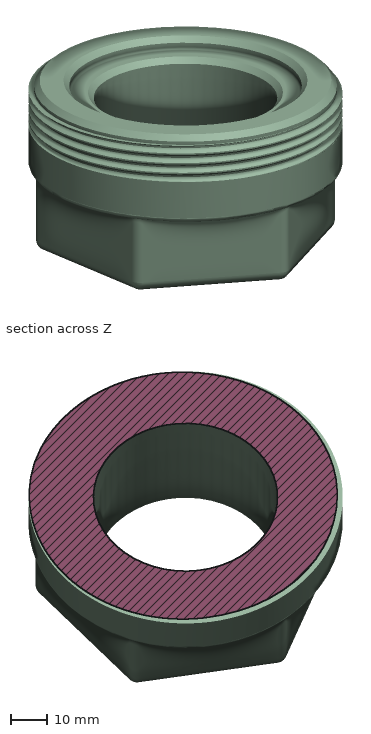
import cadquery as cq
import math

total_height = 47.3
hex_height = 22.0
shoulder_z = 34.3

collar_radius = 43.6
collar_edge_fillet = 1.5
thread_root_radius = 42.0
top_chamfer = 1.6

thread_pitch = 2.9
thread_root_flat = 0.5
thread_crest_flat = 0.4
thread_embed = 0.35
thread_top_gap = 2.5
thread_top_z = total_height - thread_top_gap

across_flats = 73.8
hex_corner_fillet = 3.0
hex_bottom_fillet = 2.9
hex_overlap = 1.7

bore_radius = 25.4
bore_chamfer = 1.6
seat_radius = 32.2
seat_depth = 3.6
seat_chamfer = 1.6
seat_floor_fillet = 0.7


def arc_midpoint_inset(radius):
    """Distance of a quarter arc's midpoint from each of the two sides it joins."""
    return radius * (1 - math.sqrt(0.5))


def make_round_body():
    """Collar and threaded neck core, without the bore."""
    fillet_mid = arc_midpoint_inset(collar_edge_fillet)
    return (
        cq.Workplane("XZ")
        .moveTo(0, hex_height)
        .lineTo(collar_radius - collar_edge_fillet, hex_height)
        .threePointArc(
            (collar_radius - fillet_mid, hex_height + fillet_mid),
            (collar_radius, hex_height + collar_edge_fillet),
        )
        .lineTo(collar_radius, shoulder_z)
        .lineTo(thread_root_radius, shoulder_z)
        .lineTo(thread_root_radius, total_height - top_chamfer)
        .lineTo(thread_root_radius - top_chamfer, total_height)
        .lineTo(0, total_height)
        .close()
        .revolve(360, (0, 0, 0), (0, 1, 0))
    )


def make_hexagon():
    """Hexagon with two corners on the X axis and rounded corners and bottom edge."""
    across_corners = across_flats / math.cos(math.pi / 6)
    return (
        cq.Workplane("XY")
        .polygon(6, across_corners)
        .extrude(hex_height + hex_overlap)
        .edges("|Z")
        .fillet(hex_corner_fillet)
        .faces("<Z")
        .edges()
        .fillet(hex_bottom_fillet)
    )


def make_thread():
    """Right-hand ridge on the neck, cut square at the shoulder and at its upper end."""
    start_z = shoulder_z - thread_pitch
    turns = math.ceil((thread_top_z - start_z) / thread_pitch) + 1
    helix = cq.Wire.makeHelix(thread_pitch, turns * thread_pitch, thread_root_radius)

    half_root = (thread_pitch - thread_root_flat) / 2
    half_crest = thread_crest_flat / 2
    flank_slope = (half_root - half_crest) / (collar_radius - thread_root_radius)
    half_base = half_root + flank_slope * thread_embed
    base_radius = thread_root_radius - thread_embed
    ridge = (
        cq.Workplane("XZ")
        .polyline([
            (base_radius, -half_base),
            (collar_radius, -half_crest),
            (collar_radius, half_crest),
            (base_radius, half_base),
        ])
        .close()
        .sweep(cq.Workplane(obj=helix), isFrenet=True)
        .translate((0, 0, start_z))
    )
    band = (
        cq.Workplane("XY", origin=(0, 0, shoulder_z))
        .circle(collar_radius + thread_pitch)
        .extrude(thread_top_z - shoulder_z)
    )
    return ridge.intersect(band)


def make_bore():
    """Through bore opening into a wider seat with a chamfered mouth."""
    seat_z = total_height - seat_depth
    fillet_mid = arc_midpoint_inset(seat_floor_fillet)
    return (
        cq.Workplane("XZ")
        .lineTo(bore_radius, 0)
        .lineTo(bore_radius, seat_z - bore_chamfer)
        .lineTo(bore_radius + bore_chamfer, seat_z)
        .lineTo(seat_radius - seat_floor_fillet, seat_z)
        .threePointArc(
            (seat_radius - fillet_mid, seat_z + fillet_mid),
            (seat_radius, seat_z + seat_floor_fillet),
        )
        .lineTo(seat_radius, total_height - seat_chamfer)
        .lineTo(seat_radius + seat_chamfer, total_height)
        .lineTo(0, total_height)
        .close()
        .revolve(360, (0, 0, 0), (0, 1, 0))
    )


result = make_round_body().union(make_hexagon()).cut(make_bore()).union(make_thread())